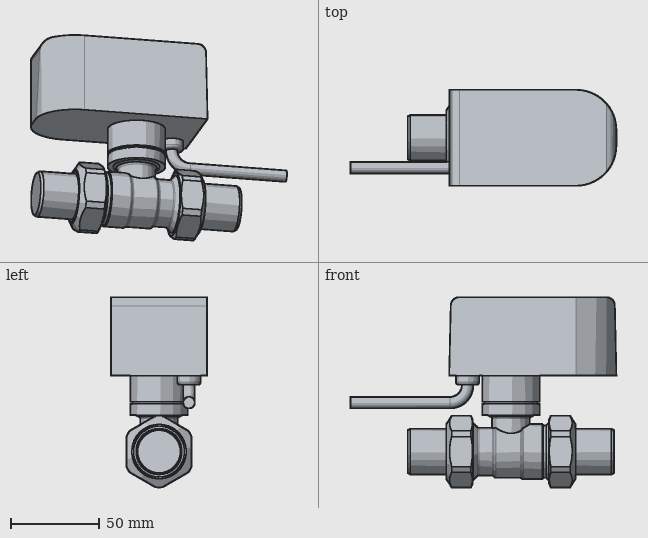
import cadquery as cq
import math


OVERALL_LENGTH = 150.61

HOUSING_BOTTOM = 43.0
HOUSING_HEIGHT = 44.5
HOUSING_WIDTH = 54.5
HOUSING_BACK = -35.0
HOUSING_FRONT = 59.8
HOUSING_DRAFT = 1.0
HOUSING_TOP_RADIUS = 5.0
HOUSING_CORNER_RADIUS = 23.0

NECK_RADIUS = 16.35
NECK_BOTTOM = 28.2
GROOVE_RADIUS = 15.2
COLLAR_TOP = 27.0
COLLAR_BOTTOM = 20.6
STEM_RADIUS = 10.75
STEM_FILLET = 0.9
LIP_RADIUS = 13.2
LIP_HEIGHT = 0.9

CABLE_RADIUS = 3.3
CABLE_Y = -17.0
CABLE_END_X = HOUSING_FRONT - OVERALL_LENGTH
CABLE_BEND_RADIUS = 10.0
GLAND_X = -24.5
GLAND_RADIUS = 6.65
GLAND_BOTTOM = 37.7
GLAND_FILLET = 1.8

NUT_ACROSS_FLATS = 37.0
NUT_CORNER_RADIUS = 20.35
NUT_INNER_FACE = 21.5
NUT_INNER_CHAMFER_END = 22.6
NUT_INNER_FACE_RADIUS = 17.9
NUT_OUTER_CHAMFER_START = 33.55
NUT_OUTER_FACE = 36.7
NUT_OUTER_FACE_RADIUS = 15.4
NUT_LIP_THICKNESS = 3.2

TAIL_END = 58.5
TAIL_RADIUS = 13.0
TAIL_CHAMFER_LENGTH = 1.6
TAIL_CHAMFER_DEPTH = 0.9
TAIL_SHOULDER_RADIUS = 14.4
TAIL_FLANGE_THICKNESS = 3.0

BODY_THREAD_RADIUS = 16.3
BODY_THREAD_SHOW = 21.4
BODY_LEFT_RADIUS = 13.55
BODY_MIDDLE_RADIUS = 14.9
BODY_RIGHT_RADIUS = 15.65
LEFT_STEP_START = -10.2
LEFT_STEP_END = -8.9
RIGHT_STEP_START = 5.5
RIGHT_STEP_END = 6.6
BODY_STEP_FILLET = 0.9
RIGHT_BAND_END = 18.2
RIGHT_BAND_CHAMFER = 0.5

NUT_LIP_INNER = NUT_OUTER_FACE - NUT_LIP_THICKNESS
BODY_END = NUT_LIP_INNER - TAIL_FLANGE_THICKNESS


def turned_about_x(profile):
    """Revolve (x, radius) points, closed along the axis, about X."""
    closed = [(profile[0][0], 0), *profile, (profile[-1][0], 0)]
    return cq.Workplane("XY").polyline(closed).close().revolve(360, (0, 0, 0), (1, 0, 0))


def make_housing():
    top = HOUSING_BOTTOM + HOUSING_HEIGHT
    side_outline = [
        (HOUSING_BACK, HOUSING_BOTTOM),
        (HOUSING_FRONT, HOUSING_BOTTOM),
        (HOUSING_FRONT - HOUSING_DRAFT, top),
        (HOUSING_BACK + HOUSING_DRAFT, top),
    ]
    drafted_block = (
        cq.Workplane("XZ").polyline(side_outline).close()
        .extrude(HOUSING_WIDTH / 2, both=True)
        .faces(">Z").edges("|Y").fillet(HOUSING_TOP_RADIUS)
    )
    rounded_plan = (
        cq.Workplane("XY", origin=(HOUSING_BACK, 0, HOUSING_BOTTOM))
        .rect(2 * (HOUSING_FRONT - HOUSING_BACK), HOUSING_WIDTH)
        .extrude(HOUSING_HEIGHT)
        .edges("|Z and >X").fillet(HOUSING_CORNER_RADIUS)
    )
    return drafted_block.intersect(rounded_plan)


def make_cable():
    """Gland under the housing and the cable that bends out of it towards -X."""
    gland = (
        cq.Workplane("XY", origin=(GLAND_X, CABLE_Y, GLAND_BOTTOM))
        .circle(GLAND_RADIUS).extrude(HOUSING_BOTTOM - GLAND_BOTTOM)
        .faces("<Z").edges().fillet(GLAND_FILLET)
    )
    cable_z = GLAND_BOTTOM - CABLE_BEND_RADIUS
    bend_start_x = GLAND_X - CABLE_BEND_RADIUS
    bend = (
        cq.Workplane("XY", origin=(GLAND_X, CABLE_Y, GLAND_BOTTOM))
        .circle(CABLE_RADIUS)
        .revolve(90, (-CABLE_BEND_RADIUS, 0, 0), (-CABLE_BEND_RADIUS, 1, 0))
    )
    straight = (
        cq.Workplane("YZ", origin=(CABLE_END_X, CABLE_Y, cable_z))
        .circle(CABLE_RADIUS).extrude(bend_start_x - CABLE_END_X)
    )
    return gland.union(bend).union(straight)


def make_actuator():
    neck = (
        cq.Workplane("XY", origin=(0, 0, NECK_BOTTOM))
        .circle(NECK_RADIUS).extrude(HOUSING_BOTTOM - NECK_BOTTOM)
    )
    return make_housing().union(neck).union(make_cable())


def make_valve_body():
    left_cone_end = -BODY_THREAD_SHOW + BODY_THREAD_RADIUS - BODY_LEFT_RADIUS
    right_cone_end = BODY_THREAD_SHOW - BODY_THREAD_RADIUS + BODY_MIDDLE_RADIUS
    barrel = turned_about_x([
        (-BODY_END, BODY_THREAD_RADIUS),
        (-BODY_THREAD_SHOW, BODY_THREAD_RADIUS),
        (left_cone_end, BODY_LEFT_RADIUS),
        (LEFT_STEP_START, BODY_LEFT_RADIUS),
        (LEFT_STEP_END, BODY_MIDDLE_RADIUS),
        (RIGHT_STEP_START, BODY_MIDDLE_RADIUS),
        (RIGHT_STEP_END, BODY_RIGHT_RADIUS),
        (RIGHT_BAND_END - RIGHT_BAND_CHAMFER, BODY_RIGHT_RADIUS),
        (RIGHT_BAND_END, BODY_RIGHT_RADIUS - RIGHT_BAND_CHAMFER),
        (RIGHT_BAND_END, BODY_MIDDLE_RADIUS),
        (right_cone_end, BODY_MIDDLE_RADIUS),
        (BODY_THREAD_SHOW, BODY_THREAD_RADIUS),
        (BODY_END, BODY_THREAD_RADIUS),
    ])
    margin = 0.1
    step_edges = cq.selectors.BoxSelector(
        (left_cone_end - margin, -margin, -margin),
        (RIGHT_STEP_END + margin, margin, margin),
    )
    barrel = barrel.edges(step_edges).fillet(BODY_STEP_FILLET)

    lip_bottom = COLLAR_BOTTOM - LIP_HEIGHT
    fillet_mid = STEM_FILLET * (1 - math.sqrt(0.5))
    stem = (
        cq.Workplane("XZ")
        .lineTo(STEM_RADIUS, 0)
        .lineTo(STEM_RADIUS, lip_bottom - STEM_FILLET)
        .threePointArc(
            (STEM_RADIUS + fillet_mid, lip_bottom - fillet_mid),
            (STEM_RADIUS + STEM_FILLET, lip_bottom),
        )
        .lineTo(LIP_RADIUS, COLLAR_BOTTOM)
        .lineTo(NECK_RADIUS, COLLAR_BOTTOM)
        .lineTo(NECK_RADIUS, COLLAR_TOP)
        .lineTo(GROOVE_RADIUS, COLLAR_TOP)
        .lineTo(GROOVE_RADIUS, NECK_BOTTOM)
        .lineTo(0, NECK_BOTTOM)
        .close()
        .revolve(360, (0, 0, 0), (0, 1, 0))
    )
    return barrel.union(stem)


def make_nut():
    """Hexagon union nut on the +X side, with a corner pointing along Z."""
    length = NUT_OUTER_FACE - NUT_INNER_FACE
    hexagon = (
        cq.Workplane("YZ", origin=(NUT_INNER_FACE, 0, 0))
        .polygon(6, NUT_ACROSS_FLATS, circumscribed=True)
        .extrude(length)
    )
    chamfered_envelope = turned_about_x([
        (NUT_INNER_FACE, NUT_INNER_FACE_RADIUS),
        (NUT_INNER_CHAMFER_END, NUT_CORNER_RADIUS),
        (NUT_OUTER_CHAMFER_START, NUT_CORNER_RADIUS),
        (NUT_OUTER_FACE, NUT_OUTER_FACE_RADIUS),
    ])
    stepped_bore = turned_about_x([
        (NUT_INNER_FACE, BODY_THREAD_RADIUS),
        (NUT_LIP_INNER, BODY_THREAD_RADIUS),
        (NUT_LIP_INNER, TAIL_SHOULDER_RADIUS),
        (NUT_OUTER_FACE, TAIL_SHOULDER_RADIUS),
    ])
    return hexagon.intersect(chamfered_envelope).cut(stepped_bore)


def make_tailpiece():
    """Tailpiece on the +X side: flange held by the nut's lip, shoulder and pipe end."""
    return turned_about_x([
        (BODY_END, BODY_THREAD_RADIUS),
        (NUT_LIP_INNER, BODY_THREAD_RADIUS),
        (NUT_LIP_INNER, TAIL_SHOULDER_RADIUS),
        (NUT_OUTER_FACE, TAIL_SHOULDER_RADIUS),
        (NUT_OUTER_FACE, TAIL_RADIUS),
        (TAIL_END - TAIL_CHAMFER_LENGTH, TAIL_RADIUS),
        (TAIL_END, TAIL_RADIUS - TAIL_CHAMFER_DEPTH),
    ])


actuator = make_actuator()
valve_body = make_valve_body()
bodies = [actuator.solids().val(), valve_body.solids().val()]

for turn in (0, 180):
    for fitting in (make_nut(), make_tailpiece()):
        bodies.append(fitting.rotate((0, 0, 0), (0, 0, 1), turn).solids().val())

result = cq.Compound.makeCompound(bodies)